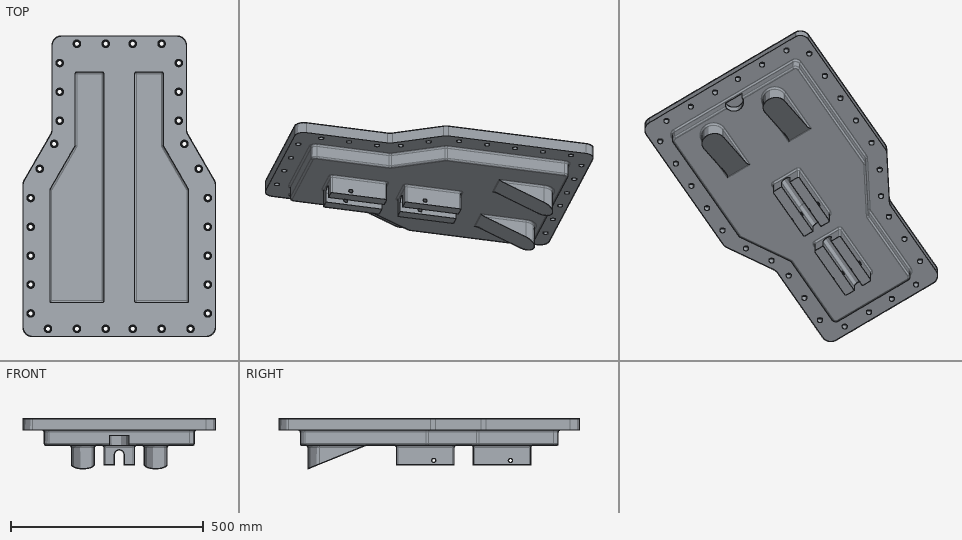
import cadquery as cq
import math

LENGTH = 780.0
WIDTH = 500.0
NARROW_WIDTH = 349.5
WIDE_HALF = WIDTH / 2
NARROW_HALF = NARROW_WIDTH / 2
FLANGE_THICKNESS = 30.0
TAPER_ANGLE = 30.0
TAPER_START = LENGTH / 2 - 249.5
FLANGE_RADIUS = 25.0

BODY_INSET = 55.0
BODY_RADIUS = 12.5
BODY_BOTTOM = -69.5
BODY_FRONT = -LENGTH / 2 + BODY_INSET

EDGE_FILLET = 5.0

RECESS_DEPTH = 15.0
RECESS_INNER_X = 40.0
RECESS_NARROW_X = 115.0
RECESS_WIDE_X = 180.0
RECESS_BACK = LENGTH / 2 - 93.5
RECESS_FRONT = -LENGTH / 2 + 88.0
RECESS_TAPER_INSET = WIDE_HALF - RECESS_WIDE_X

HOLE_DIAMETER = 13.0
SINK_DIAMETER = 19.5
SINK_ANGLE = 90
HOLE_INSET = 20.0
HOLE_PITCH = 75.0
CENTRE_HOLE_X = 35.0
NARROW_HOLE_OFFSET = 70.0
WIDE_HOLE_OFFSET = 60.0
TAPER_HOLE_OFFSET = 23.5

BACK_HOLES = 2
FRONT_HOLES = 3
NARROW_HOLES = 3
WIDE_HOLES = 5
TAPER_HOLES = 2

LUG_WIDTH = 79.5
LUG_LENGTH = 150.0
LUG_BOTTOM = -120.0
LUG_RADIUS = 4.0
LUG_BACKS = (LENGTH / 2 - 126.0, LENGTH / 2 - 325.0)
SLOT_WIDTH = 25.0
SLOT_TOP = -81.0
PIN_DIAMETER = 10.0
PIN_FROM_BACK = 53.0
PIN_Z = -108.5

FOOT_X = 94.0
FOOT_WIDTH = 60.0
FOOT_RADIUS = FOOT_WIDTH / 2
FOOT_FRONT = -LENGTH / 2 + 75.0
FOOT_BOTTOM = -130.0
FOOT_SLOPE = 22.0
FOOT_HEIGHT = BODY_BOTTOM - FOOT_BOTTOM
FOOT_LENGTH = FOOT_HEIGHT / math.tan(math.radians(FOOT_SLOPE))

NOTCH_RADIUS = 25.0
NOTCH_TOP = -44.0

MARGIN = 0.1


def taper_corner_y(inset, half_width):
    """Y where a line parallel to the flange taper, set in by `inset`, reaches `half_width`."""
    sideways = inset / math.cos(math.radians(TAPER_ANGLE))
    return TAPER_START - (half_width - NARROW_HALF + sideways) / math.tan(math.radians(TAPER_ANGLE))


def bottle_prism(inset, radius, top, bottom):
    """Prism with a wide front, a narrow back and tapered shoulders, set in from the flange outline."""
    narrow = NARROW_HALF - inset
    wide = WIDE_HALF - inset
    end = LENGTH / 2 - inset
    right_side = [
        (wide, -end),
        (wide, taper_corner_y(inset, wide)),
        (narrow, taper_corner_y(inset, narrow)),
        (narrow, end),
    ]
    left_side = [(-x, y) for x, y in reversed(right_side)]
    prism = cq.Workplane("XY").workplane(offset=bottom).polyline(right_side + left_side).close()
    return prism.extrude(top - bottom).edges("|Z").fillet(radius)


def lug(back):
    """Block under the body, rounded on its upright edges."""
    height = BODY_BOTTOM - LUG_BOTTOM
    block = cq.Workplane("XY").box(LUG_WIDTH, LUG_LENGTH, height, centered=(True, False, False))
    return block.edges("|Z").fillet(LUG_RADIUS).translate((0, back - LUG_LENGTH, LUG_BOTTOM))


def foot(x):
    """Wedge with a half-round front, cut off below by a plane that rises toward the back."""
    foot_back = FOOT_FRONT + FOOT_LENGTH
    side = [(FOOT_FRONT, BODY_BOTTOM), (FOOT_FRONT, FOOT_BOTTOM), (foot_back, BODY_BOTTOM)]
    wedge = cq.Workplane("YZ").polyline(side).close().extrude(FOOT_RADIUS, both=True)
    plan = (
        cq.Workplane("XY")
        .workplane(offset=FOOT_BOTTOM)
        .moveTo(-FOOT_RADIUS, foot_back)
        .lineTo(-FOOT_RADIUS, FOOT_FRONT + FOOT_RADIUS)
        .threePointArc((0, FOOT_FRONT), (FOOT_RADIUS, FOOT_FRONT + FOOT_RADIUS))
        .lineTo(FOOT_RADIUS, foot_back)
        .close()
        .extrude(FOOT_HEIGHT)
    )
    return wedge.intersect(plan).translate((x, 0, 0))


def recess():
    """Tapered recess on the +X side, with rounded corners and floor edge."""
    outline = [
        (RECESS_INNER_X, RECESS_FRONT),
        (RECESS_WIDE_X, RECESS_FRONT),
        (RECESS_WIDE_X, taper_corner_y(RECESS_TAPER_INSET, RECESS_WIDE_X)),
        (RECESS_NARROW_X, taper_corner_y(RECESS_TAPER_INSET, RECESS_NARROW_X)),
        (RECESS_NARROW_X, RECESS_BACK),
        (RECESS_INNER_X, RECESS_BACK),
    ]
    prism = cq.Workplane("XY").polyline(outline).close().extrude(-RECESS_DEPTH)
    prism = prism.edges("|Z").fillet(EDGE_FILLET)
    return prism.faces("<Z").edges().fillet(EDGE_FILLET)


def hole_points():
    """Centres of the flange holes on the +X half."""
    end = LENGTH / 2 - HOLE_INSET
    narrow = NARROW_HALF - HOLE_INSET
    wide = WIDE_HALF - HOLE_INSET
    points = [(CENTRE_HOLE_X + i * HOLE_PITCH, end) for i in range(BACK_HOLES)]
    points += [(CENTRE_HOLE_X + i * HOLE_PITCH, -end) for i in range(FRONT_HOLES)]
    points += [(narrow, LENGTH / 2 - NARROW_HOLE_OFFSET - i * HOLE_PITCH) for i in range(NARROW_HOLES)]
    points += [(wide, -LENGTH / 2 + WIDE_HOLE_OFFSET + i * HOLE_PITCH) for i in range(WIDE_HOLES)]
    sine = math.sin(math.radians(TAPER_ANGLE))
    cosine = math.cos(math.radians(TAPER_ANGLE))
    for i in range(TAPER_HOLES):
        along = TAPER_HOLE_OFFSET + i * HOLE_PITCH
        x = NARROW_HALF + along * sine - HOLE_INSET * cosine
        y = TAPER_START - along * cosine - HOLE_INSET * sine
        points.append((x, y))
    return points


def slot():
    """Round-topped slot along Y through both lugs."""
    centre_z = SLOT_TOP - SLOT_WIDTH / 2
    straight = cq.Workplane("XY").box(SLOT_WIDTH, LENGTH, centre_z - LUG_BOTTOM, centered=(True, True, False))
    crown = cq.Workplane("XZ").circle(SLOT_WIDTH / 2).extrude(LENGTH / 2, both=True)
    return straight.translate((0, 0, LUG_BOTTOM)).union(crown.translate((0, 0, centre_z)))


def pin_hole(back):
    """Cross hole along X through both walls of a lug."""
    pin = cq.Workplane("YZ").circle(PIN_DIAMETER / 2).extrude(LUG_WIDTH, both=True)
    return pin.translate((0, back - PIN_FROM_BACK, PIN_Z))


def blend_below(solid, z):
    """Fillet the roots of everything that stands on the downward face at height `z`."""
    reach = 2 * LENGTH
    slab = cq.selectors.BoxSelector((-reach, -reach, z - MARGIN), (reach, reach, z + MARGIN))
    roots = solid.faces(slab).val().innerWires()
    return solid.newObject(roots).edges().fillet(EDGE_FILLET)


result = bottle_prism(BODY_INSET, BODY_RADIUS, 0, BODY_BOTTOM).faces("<Z").edges().fillet(EDGE_FILLET)
result = result.union(bottle_prism(0, FLANGE_RADIUS, 0, -FLANGE_THICKNESS))
result = blend_below(result, -FLANGE_THICKNESS)

for lug_back in LUG_BACKS:
    result = result.union(lug(lug_back))
for foot_x in (-FOOT_X, FOOT_X):
    result = result.union(foot(foot_x))
result = blend_below(result, BODY_BOTTOM)

result = result.cut(slot())
for lug_back in LUG_BACKS:
    result = result.cut(pin_hole(lug_back))

notch = cq.Workplane("XY").circle(NOTCH_RADIUS).extrude(BODY_BOTTOM - NOTCH_TOP)
result = result.cut(notch.translate((0, BODY_FRONT, NOTCH_TOP)))

result = result.cut(recess())
result = result.cut(recess().mirror("YZ"))

right_holes = hole_points()
left_holes = [(-x, y) for x, y in right_holes]
result = (
    result.copyWorkplane(cq.Workplane("XY"))
    .pushPoints(right_holes + left_holes)
    .cskHole(HOLE_DIAMETER, SINK_DIAMETER, SINK_ANGLE)
)